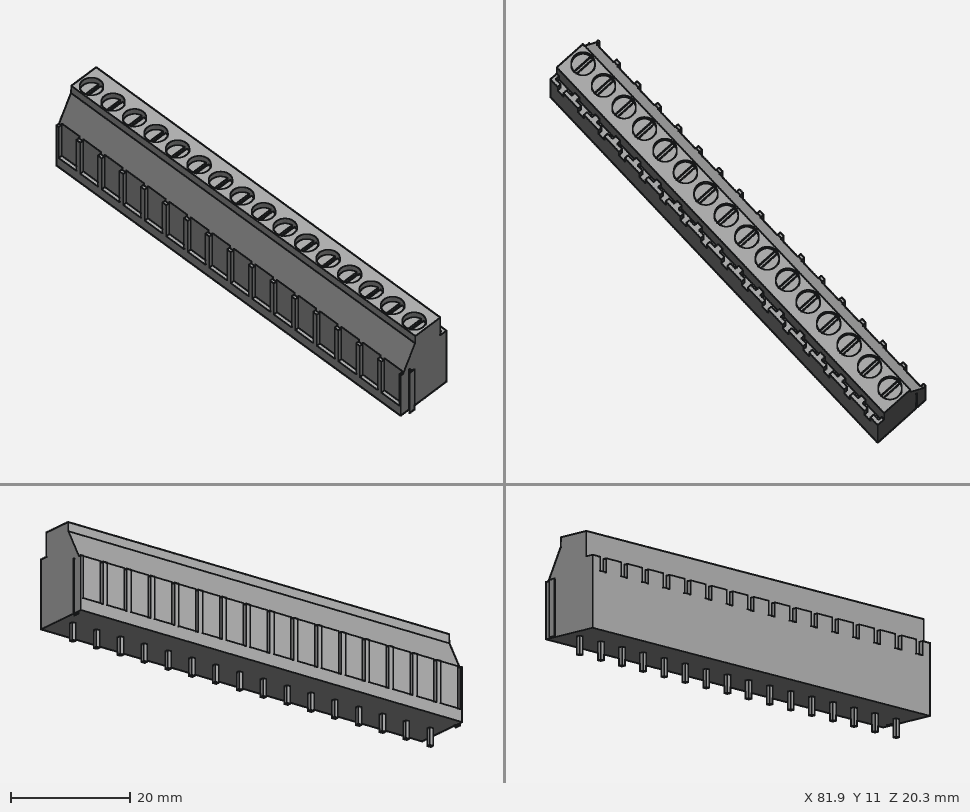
import cadquery as cq

overall_length = 81.9
pole_count = 16
pole_pitch = 5.1
body_length = pole_count * pole_pitch
body_depth = 11.0
body_height = 17.1

front_y = -body_depth / 2
back_y = body_depth / 2
left_x = -body_length / 2
right_x = body_length / 2

front_ledge_height = 10.0
front_ledge_depth = 0.6
slope_top_height = 15.4
slope_top_inset = 3.45
top_front_inset = 3.5
back_ledge_height = 12.7
back_ledge_depth = 1.5

panel_width = 4.2
panel_bottom = 2.3
panel_recess = 0.7
panel_offset = 0.1

screw_diameter = 4.0
screw_y = 0.3
screw_recess = 1.2
driver_slot_width = 0.6
driver_slot_depth = 0.6

pocket_width = 3.9
pocket_neck_width = 1.5
pocket_neck_length = 0.7
pocket_depth = 2.45

pin_width = 0.7
pin_length = 3.2

dovetail_inset = 2.05
dovetail_length = overall_length - body_length
dovetail_neck_width = 0.25
dovetail_neck_length = 0.25
dovetail_tip_width = 1.2

pole_centres = [left_x + (i + 0.5) * pole_pitch for i in range(pole_count)]


def box(width, depth, height, x, y, z):
    """Box centred on X, starting at y and z."""
    block = cq.Workplane("XY").box(width, depth, height, centered=(True, False, False))
    return block.translate((x, y, z))


def housing():
    profile = [
        (front_y, 0),
        (front_y, front_ledge_height),
        (front_y + front_ledge_depth, front_ledge_height),
        (front_y + slope_top_inset, slope_top_height),
        (front_y + top_front_inset, body_height),
        (back_y - back_ledge_depth, body_height),
        (back_y - back_ledge_depth, back_ledge_height),
        (back_y, back_ledge_height),
        (back_y, 0),
    ]
    return cq.Workplane("YZ").polyline(profile).close().extrude(body_length).translate((left_x, 0, 0))


def dovetail(base_x):
    """Bar with a thin neck that then widens towards +X, from the underside up to the front ledge."""
    joint_y = front_y + dovetail_inset
    neck_x = base_x + dovetail_neck_length
    tip_x = base_x + dovetail_length
    outline = [
        (base_x, joint_y - dovetail_neck_width / 2),
        (neck_x, joint_y - dovetail_neck_width / 2),
        (tip_x, joint_y - dovetail_tip_width / 2),
        (tip_x, joint_y + dovetail_tip_width / 2),
        (neck_x, joint_y + dovetail_neck_width / 2),
        (base_x, joint_y + dovetail_neck_width / 2),
    ]
    return cq.Workplane("XY").polyline(outline).close().extrude(front_ledge_height)


def front_panel(x):
    return box(panel_width, panel_recess, body_height, x + panel_offset, front_y, panel_bottom)


def screw_recess_cut(x):
    """Round recess with a driver slot across the screw head at its floor."""
    head_z = body_height - screw_recess
    bore = cq.Workplane("XY", origin=(x, screw_y, head_z)).circle(screw_diameter / 2).extrude(screw_recess)
    slot_z = head_z - driver_slot_depth
    head = cq.Workplane("XY", origin=(x, screw_y, slot_z)).circle(screw_diameter / 2).extrude(driver_slot_depth)
    slot = box(driver_slot_width, screw_diameter, driver_slot_depth, x, screw_y - screw_diameter / 2, slot_z)
    return bore.union(head.intersect(slot))


def back_pocket(x):
    floor_z = back_ledge_height - pocket_depth
    neck_y = back_y - pocket_neck_length
    wall_y = back_y - back_ledge_depth
    wide_part = box(pocket_width, neck_y - wall_y, pocket_depth, x, wall_y, floor_z)
    neck = box(pocket_neck_width, pocket_neck_length, pocket_depth, x, neck_y, floor_z)
    return wide_part.union(neck)


def pin(x):
    return box(pin_width, pin_width, pin_length, x, -pin_width / 2, -pin_length)


result = housing().union(dovetail(right_x)).cut(dovetail(left_x))
for pole_x in pole_centres:
    result = result.cut(front_panel(pole_x))
    result = result.cut(screw_recess_cut(pole_x))
    result = result.cut(back_pocket(pole_x))
    result = result.union(pin(pole_x))